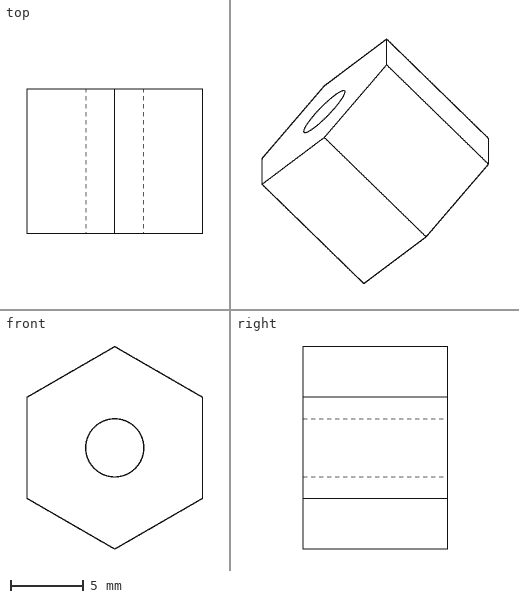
import cadquery as cq

corner_distance = 14.0
length = 10.0
bore_diameter = 4.0

end_plane = cq.Plane(origin=(0, -length / 2, 0), xDir=(0, 0, 1), normal=(0, 1, 0))

body = cq.Workplane(end_plane).polygon(6, corner_distance).extrude(length)
bore = cq.Workplane(end_plane).circle(bore_diameter / 2).extrude(length)

result = body.cut(bore)